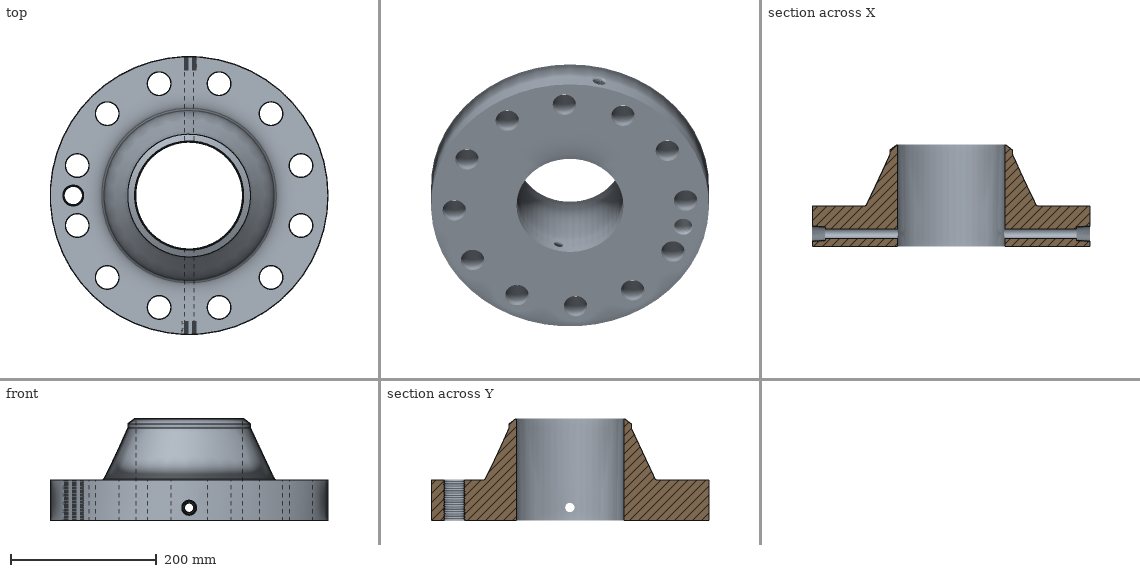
import cadquery as cq
import math

FLANGE_DIAMETER = 381.0
FLANGE_THICKNESS = 55.6
OVERALL_HEIGHT = 139.7

BORE_DIAMETER = 146.4
PIPE_DIAMETER = 168.3
HUB_BASE_DIAMETER = 235.0
HUB_FILLET = 3.5
WELD_LAND_WIDTH = 1.6
WELD_BEVEL_ANGLE = 37.5
NECK_STRAIGHT_LENGTH = 5.7

BOLT_COUNT = 12
BOLT_CIRCLE_DIAMETER = 317.5
BOLT_HOLE_DIAMETER = 32.0

JACK_MAJOR_DIAMETER = 28.575
JACK_MINOR_DIAMETER = 25.1
JACK_PITCH = 3.175

TAP_HEIGHT = 17.5
TAP_MAJOR_DIAMETER = 20.6
TAP_THREAD_DEPTH = 1.3
TAP_PITCH = 1.814
TAP_TAPER = 1 / 16
TAP_TURNS = 10
TAP_DRILL_DIAMETER = 12.7


def make_body():
    """Revolved weld neck: disc, tapered hub, short straight neck and weld bevel."""
    bore_radius = BORE_DIAMETER / 2
    pipe_radius = PIPE_DIAMETER / 2
    land_radius = bore_radius + WELD_LAND_WIDTH
    bevel_height = (pipe_radius - land_radius) * math.tan(math.radians(WELD_BEVEL_ANGLE))
    bevel_start = OVERALL_HEIGHT - bevel_height
    body = (
        cq.Workplane("XZ")
        .moveTo(bore_radius, 0)
        .lineTo(FLANGE_DIAMETER / 2, 0)
        .lineTo(FLANGE_DIAMETER / 2, FLANGE_THICKNESS)
        .lineTo(HUB_BASE_DIAMETER / 2, FLANGE_THICKNESS)
        .lineTo(pipe_radius, bevel_start - NECK_STRAIGHT_LENGTH)
        .lineTo(pipe_radius, bevel_start)
        .lineTo(land_radius, OVERALL_HEIGHT)
        .lineTo(bore_radius, OVERALL_HEIGHT)
        .close()
        .revolve(360, (0, 0, 0), (0, 1, 0))
    )
    hub_root = cq.selectors.RadiusNthSelector(-2)
    return body.edges("%CIRCLE").edges(hub_root).fillet(HUB_FILLET)


def thread_cutter(major_radius, thread_depth, pitch, turns, taper):
    """Ringed thread form along +Z from the origin with one V ridge per pitch; taper is on the diameter."""
    def radius_at(height):
        return major_radius - taper * height / 2

    length = turns * pitch
    profile = cq.Workplane("XZ").moveTo(0, 0).lineTo(radius_at(0), 0)
    for turn in range(turns):
        root = (turn + 0.5) * pitch
        crest = (turn + 1) * pitch
        profile = profile.lineTo(radius_at(root) - thread_depth, root)
        profile = profile.lineTo(radius_at(crest), crest)
    return profile.lineTo(0, length).close().revolve(360, (0, 0, 0), (0, 1, 0))


def make_bolt_holes():
    return (
        cq.Workplane("XY")
        .polarArray(BOLT_CIRCLE_DIAMETER / 2, 180 / BOLT_COUNT, 360, BOLT_COUNT)
        .circle(BOLT_HOLE_DIAMETER / 2)
        .extrude(FLANGE_THICKNESS)
    )


def make_jack_screw_hole():
    turns = math.ceil(FLANGE_THICKNESS / JACK_PITCH)
    depth = (JACK_MAJOR_DIAMETER - JACK_MINOR_DIAMETER) / 2
    cutter = thread_cutter(JACK_MAJOR_DIAMETER / 2, depth, JACK_PITCH, turns, 0)
    return (
        cutter.rotate((0, 0, 0), (1, 0, 0), 180)
        .translate((-BOLT_CIRCLE_DIAMETER / 2, 0, FLANGE_THICKNESS))
    )


def make_pressure_tap():
    """Tapered thread entering from the -Y rim, with a drilled hole on to the bore."""
    thread = thread_cutter(TAP_MAJOR_DIAMETER / 2, TAP_THREAD_DEPTH, TAP_PITCH, TAP_TURNS, TAP_TAPER)
    drill = cq.Workplane("XY").circle(TAP_DRILL_DIAMETER / 2).extrude(FLANGE_DIAMETER / 2)
    return (
        thread.union(drill)
        .rotate((0, 0, 0), (1, 0, 0), -90)
        .translate((0, -FLANGE_DIAMETER / 2, TAP_HEIGHT))
    )


front_tap = make_pressure_tap()
back_tap = front_tap.rotate((0, 0, 0), (0, 0, 1), 180)

result = make_body().cut(make_bolt_holes()).cut(make_jack_screw_hole()).cut(front_tap).cut(back_tap)